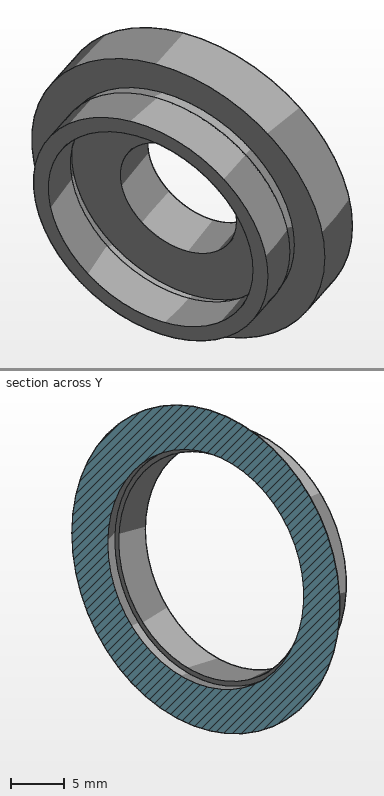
import cadquery as cq

flange_radius = 15.88
total_length = 10.0
flange_thickness = 5.02
spigot_radius = 12.7
relief_radius = 12.57
relief_width = 1.02
recess_radius = 11.08
recess_depth = 5.02
recess_relief_radius = 11.55
bore_radius = 6.3

spigot_length = total_length - flange_thickness


def cylinder(radius, start, length):
    """Cylinder on the Y axis, from y = start towards +Y."""
    return cq.Workplane("XZ", origin=(0, start, 0)).circle(radius).extrude(-length)


flange = cylinder(flange_radius, spigot_length, flange_thickness)
spigot = cylinder(spigot_radius, 0, spigot_length - relief_width)

relief_neck = cylinder(relief_radius, spigot_length - relief_width, relief_width)

recess = cylinder(recess_radius, 0, recess_depth)
recess_relief = cylinder(recess_relief_radius, recess_depth - relief_width, relief_width)
bore = cylinder(bore_radius, 0, total_length)

result = flange.union(relief_neck).union(spigot).cut(recess).cut(recess_relief).cut(bore)